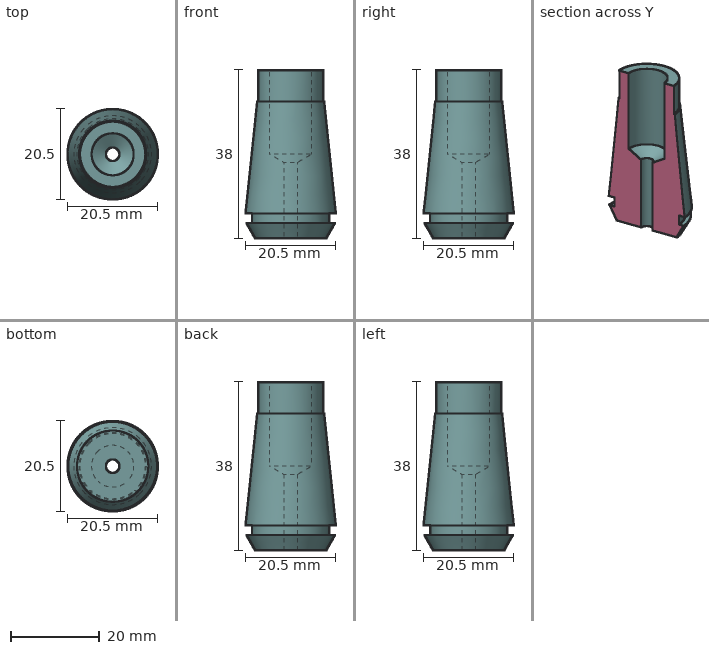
import cadquery as cq
import math

height = 38.0
groove_bottom = 3.5
groove_top = 5.62
taper_top = 30.95

base_diameter = 16.1
flange_diameter = 20.05
groove_diameter = 17.48
taper_large_diameter = 20.5
taper_small_diameter = 15.2
neck_diameter = 14.75

bore_diameter = 9.5
hole_diameter = 3.0
bore_depth = 19.0
floor_cone_angle = 120.0


def revolve_profile(points):
    """Revolve a profile of (diameter, height) points closed along the Z axis."""
    bottom = points[0][1]
    top = points[-1][1]
    half_profile = [(diameter / 2, level) for diameter, level in points]
    outline = [(0, bottom)] + half_profile + [(0, top)]
    return cq.Workplane("YZ").polyline(outline).close().revolve(360, (0, 0), (0, 1))


def make_body():
    """Tapered collet body with a clamping groove and a straight neck."""
    return revolve_profile([
        (base_diameter, 0),
        (flange_diameter, groove_bottom),
        (groove_diameter, groove_bottom),
        (groove_diameter, groove_top),
        (taper_large_diameter, groove_top),
        (taper_small_diameter, taper_top),
        (neck_diameter, taper_top),
        (neck_diameter, height),
    ])


def make_bore():
    """Stepped bore along the whole axis."""
    bore_bottom = height - bore_depth
    radial_step = (bore_diameter - hole_diameter) / 2
    cone_height = radial_step / math.tan(math.radians(floor_cone_angle / 2))
    return revolve_profile([
        (hole_diameter, 0),
        (hole_diameter, bore_bottom - cone_height),
        (bore_diameter, bore_bottom),
        (bore_diameter, height),
    ])


result = make_body().cut(make_bore())